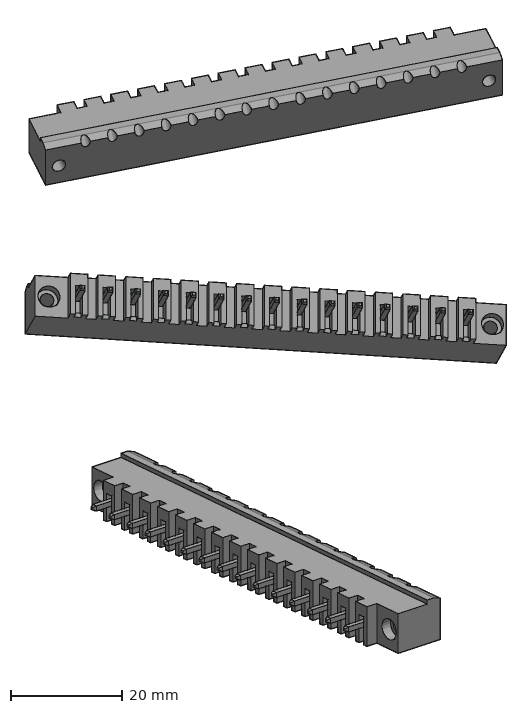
import cadquery as cq

pin_count = 15
pitch = 5.08
housing_length = pitch * (pin_count + 2)
total_depth = 16.2
total_height = 8.6

end_face_depth = 9.9
recess_depth = 10.2
tooth_face_depth = 12.2
deck_height = 7.8
feature_height = 3.9

lip_width = 3.1
lip_slope_width = 1.55
lip_slope_drop = 0.5
lip_groove_radius = 0.9
lip_groove_length = 4.0
lip_groove_tilt = 45

tooth_width = 3.2
slot_width = 1.3
slot_height = 5.5
slot_step_height = 0.8
slot_depth = 2.5
slot_step_depth = 1.0

pin_size = 1.0
pin_taper = 0.25
pin_taper_length = 0.6
pin_embed = 2.0

hole_offset = pitch
hole_diameter = 2.5
counterbore_diameter = 4.0
counterbore_depth = 2.0

pin_row_length = pitch * (pin_count - 1)
pin_positions = [i * pitch - pin_row_length / 2 for i in range(pin_count)]


def box_between(x_range, y_center, y_width, z_range):
    """Box spanning an X range and a Z range, centred on a Y position."""
    x_min, x_max = x_range
    z_min, z_max = z_range
    return (
        cq.Workplane("XY")
        .box(x_max - x_min, y_width, z_max - z_min, centered=(False, True, False))
        .translate((x_min, y_center, z_min))
    )


def rod_along_x(x_min, x_max, y, z, diameter):
    """Round rod parallel to X."""
    return (
        cq.Workplane("YZ", origin=(x_min, y, z))
        .circle(diameter / 2)
        .extrude(x_max - x_min)
    )


def make_housing():
    """Constant profile with the sloping lip, extruded over the full length."""
    profile = [
        (-end_face_depth, 0),
        (0, 0),
        (0, total_height - lip_slope_drop),
        (-lip_slope_width, total_height),
        (-lip_width, total_height),
        (-lip_width, deck_height),
        (-end_face_depth, deck_height),
    ]
    return (
        cq.Workplane("XZ")
        .polyline(profile)
        .close()
        .extrude(housing_length / 2, both=True)
    )


def make_rear_wall():
    """Shallow pad that carries the row of teeth."""
    pad_length = pin_row_length + tooth_width
    return box_between((-recess_depth, -end_face_depth), 0, pad_length, (0, deck_height))


def make_tooth(y):
    return box_between((-tooth_face_depth, -recess_depth), y, tooth_width, (0, deck_height))


def make_slot(y):
    """Slot open to the rear and the underside, deeper below the step."""
    slot_floor = -tooth_face_depth + slot_depth
    upper = box_between(
        (-tooth_face_depth, slot_floor), y, slot_width, (slot_step_height, slot_height)
    )
    lower = box_between(
        (-tooth_face_depth, slot_floor - slot_step_depth), y, slot_width, (0, slot_step_height)
    )
    return upper.union(lower)


def make_lip_groove(y):
    """Round-bottomed groove whose floor descends from the top of the slope toward +X."""
    floor_start = (-lip_slope_width, y, total_height)
    groove = rod_along_x(0, lip_groove_length, 0, lip_groove_radius, 2 * lip_groove_radius)
    return groove.rotate((0, 0, 0), (0, 1, 0), lip_groove_tilt).translate(floor_start)


def make_pin(y):
    tip_x = -total_depth
    shank_start = tip_x + pin_taper_length
    shank_end = -tooth_face_depth + slot_depth + pin_embed
    shank = (
        cq.Workplane("YZ", origin=(shank_start, y, feature_height))
        .rect(pin_size, pin_size)
        .extrude(shank_end - shank_start)
    )
    tip_size = pin_size - 2 * pin_taper
    tip = (
        cq.Workplane("YZ", origin=(tip_x, y, feature_height))
        .rect(tip_size, tip_size)
        .workplane(offset=pin_taper_length)
        .rect(pin_size, pin_size)
        .loft()
    )
    return shank.union(tip)


def make_mounting_hole(y):
    """Through hole, counterbored from the rear."""
    through = rod_along_x(-end_face_depth, 0, y, feature_height, hole_diameter)
    counterbore_floor = -end_face_depth + counterbore_depth
    counterbore = rod_along_x(
        -end_face_depth, counterbore_floor, y, feature_height, counterbore_diameter
    )
    return through.union(counterbore)


result = make_housing().union(make_rear_wall())
for pin_y in pin_positions:
    result = result.union(make_tooth(pin_y))
for pin_y in pin_positions:
    result = result.cut(make_slot(pin_y)).cut(make_lip_groove(pin_y))
    result = result.union(make_pin(pin_y))
for end_pin_y, outward in ((pin_positions[0], -1), (pin_positions[-1], 1)):
    result = result.cut(make_mounting_hole(end_pin_y + outward * hole_offset))